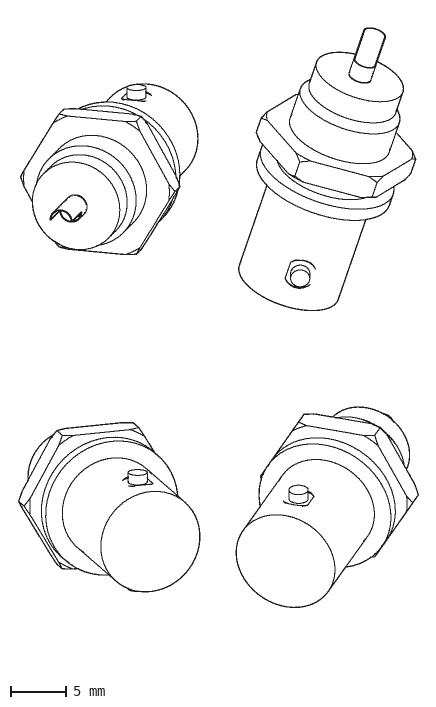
import cadquery as cq
import math

total_length = 26.82
body_diameter = 9.52
body_front = 7.72
neck_diameter = 8.31
neck_cone_end = 6.92
neck_front = 4.65

flange_diameter = 12.7
flange_front = 14.83
flange_rear = 16.05

nut_across_flats = flange_diameter
nut_front = 10.95
nut_rear = 13.22
nut_corner_radius = nut_across_flats / math.sqrt(3)
nut_face_radius = 6.92
nut_bevel_depth = 0.38

cup_diameter = 2.1
cup_bore_diameter = 1.93
cup_notch_length = 3.0

pin_diameter = 1.75
pin_span = 11.05
pin_center = 23.25
spotface_diameter = 2.9
spotface_span = 9.23


def cylinder_along_y(diameter, front, rear):
    """Round bar on the connector axis between two Y positions."""
    return cq.Solid.makeCylinder(
        diameter / 2, rear - front, cq.Vector(0, front, 0), cq.Vector(0, 1, 0)
    )


def make_body():
    """Turned barrel with a cone down to the neck and a round flange."""
    barrel = (
        cq.Workplane("XY")
        .moveTo(0, neck_front)
        .lineTo(neck_diameter / 2, neck_front)
        .lineTo(neck_diameter / 2, neck_cone_end)
        .lineTo(body_diameter / 2, body_front)
        .lineTo(body_diameter / 2, total_length)
        .lineTo(0, total_length)
        .close()
        .revolve(360, (0, 0, 0), (0, 1, 0))
    )
    return barrel.union(cylinder_along_y(flange_diameter, flange_front, flange_rear))


def make_nut():
    """Hexagonal nut whose corners are bevelled by a cone on both faces."""
    hexagon = (
        cq.Workplane("XZ", origin=(0, nut_rear, 0))
        .polygon(6, 2 * nut_corner_radius)
        .extrude(nut_rear - nut_front)
    )
    bevel_envelope = (
        cq.Workplane("XY")
        .moveTo(0, nut_front)
        .lineTo(nut_face_radius, nut_front)
        .lineTo(nut_corner_radius, nut_front + nut_bevel_depth)
        .lineTo(nut_corner_radius, nut_rear - nut_bevel_depth)
        .lineTo(nut_face_radius, nut_rear)
        .lineTo(0, nut_rear)
        .close()
        .revolve(360, (0, 0, 0), (0, 1, 0))
    )
    return hexagon.intersect(bevel_envelope)


def make_solder_cup():
    """Thin tube with its lower half cut away at the tip."""
    tube = cq.Workplane(cylinder_along_y(cup_diameter, 0, neck_front))
    bore = cylinder_along_y(cup_bore_diameter, 0, neck_front)
    notch = cq.Workplane("XY").box(
        cup_diameter, cup_notch_length, cup_diameter, centered=(True, False, False)
    ).translate((0, 0, -cup_diameter))
    return tube.cut(bore).cut(notch)


def bayonet_column(diameter, span):
    """Round column along Z through the pin centre, spanning the connector axis evenly."""
    base = cq.Workplane("XY", origin=(0, pin_center, -span / 2))
    return base.circle(diameter / 2).extrude(span)


def add_bayonet_pins(connector):
    """Opposed pins along Z, each standing on a shallow flat spotface in the barrel."""
    cutters = bayonet_column(spotface_diameter, pin_span).cut(
        bayonet_column(spotface_diameter, spotface_span)
    )
    return connector.cut(cutters).union(bayonet_column(pin_diameter, pin_span))


connector = make_body().union(make_nut()).union(make_solder_cup())
result = add_bayonet_pins(connector)